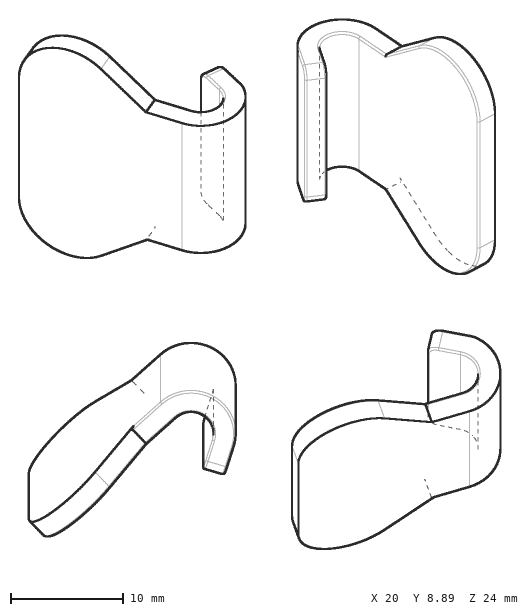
import cadquery as cq
import math

height = 24.0
thickness = 2.0
lobe_radius = 5.0
hook_height = 15.0
notch_x = 12.48
length = 20.0
inner_bend_radius = 2.0
flap_length = 3.0
flap_angle = 30.0
tip_corner_radius = 1.0
overlap = 0.95
edge_radius = 0.2

outer_bend_radius = inner_bend_radius + thickness
bend_x = length - outer_bend_radius
bend_y = outer_bend_radius
lobe_z = height / 2 - lobe_radius
half_hook = hook_height / 2

slope = math.radians(flap_angle)
along = (-math.cos(slope), math.sin(slope))
outward = (math.sin(slope), math.cos(slope))


def bend_point(radius, degrees):
    angle = math.radians(degrees)
    return bend_x + radius * math.cos(angle), bend_y + radius * math.sin(angle)


def flap_point(radius, distance):
    """Point on the flap face that is tangent to the bend of this radius."""
    return (bend_x + radius * outward[0] + distance * along[0],
            bend_y + radius * outward[1] + distance * along[1])


def make_plate():
    """Two-lobed plate whose flanks run tangentially from the lobes to the strip."""
    dx = notch_x - lobe_radius
    dz = half_hook - lobe_z
    tangent = math.atan2(dz, dx) + math.acos(lobe_radius / math.hypot(dx, dz))
    flank_x = lobe_radius * (1 + math.cos(tangent))
    flank_z = lobe_z + lobe_radius * math.sin(tangent)
    inner_x = notch_x + overlap
    inner_z = half_hook - overlap / math.tan(tangent)
    middle = (math.pi + tangent) / 2
    arc_x = lobe_radius * (1 + math.cos(middle))
    arc_z = lobe_z + lobe_radius * math.sin(middle)
    return (
        cq.Workplane("XZ")
        .moveTo(0, -lobe_z)
        .lineTo(0, lobe_z)
        .threePointArc((arc_x, arc_z), (flank_x, flank_z))
        .lineTo(inner_x, inner_z)
        .lineTo(inner_x, -inner_z)
        .lineTo(flank_x, -flank_z)
        .threePointArc((arc_x, -arc_z), (0, -lobe_z))
        .close()
        .extrude(-thickness)
    )


def make_strip():
    """Bent strip: flat neck, round bend and straight sloping flap."""
    middle = -flap_angle / 2
    return (
        cq.Workplane("XY", origin=(0, 0, -half_hook))
        .moveTo(notch_x - overlap, 0)
        .lineTo(bend_x, 0)
        .threePointArc(bend_point(outer_bend_radius, middle), flap_point(outer_bend_radius, 0))
        .lineTo(*flap_point(outer_bend_radius, flap_length))
        .lineTo(*flap_point(inner_bend_radius, flap_length))
        .lineTo(*flap_point(inner_bend_radius, 0))
        .threePointArc(bend_point(inner_bend_radius, middle), (bend_x, thickness))
        .lineTo(notch_x - overlap, thickness)
        .close()
        .extrude(hook_height)
    )


def make_tip_envelope():
    """Block level with the outer flap face, rounded at its tip corners and outer rim."""
    reach = 2 * length
    tip_x, tip_y = flap_point(outer_bend_radius, flap_length)
    face = cq.Plane(
        origin=(tip_x, tip_y, 0),
        xDir=(along[0], along[1], 0),
        normal=(outward[0], outward[1], 0),
    )
    return (
        cq.Workplane(face)
        .center(-reach / 2, 0)
        .rect(reach, hook_height)
        .extrude(-reach)
        .edges(cq.selectors.ParallelDirSelector(cq.Vector(outward[0], outward[1], 0)))
        .edges(cq.selectors.CenterNthSelector(cq.Vector(along[0], along[1], 0), -1))
        .fillet(tip_corner_radius)
        .faces(cq.selectors.DirectionMinMaxSelector(cq.Vector(outward[0], outward[1], 0)))
        .edges()
        .fillet(edge_radius)
    )


def round_plate_rim(plate):
    """Round the plate's inner face all round, except where the strip leaves it."""
    return plate.faces(">Y").edges("not(>X)").fillet(edge_radius)


def round_strip_rim(strip):
    """Round both long edges of the inner surface and carry them round the tip."""
    flap_middle = (*flap_point(inner_bend_radius, flap_length / 2), 0)
    inner_flap_face = strip.faces(cq.selectors.NearestToPointSelector(flap_middle))
    return inner_flap_face.edges("not(>X)").fillet(edge_radius)


def round_lower_edge(strip):
    """Round the lower outer edge of the strip, along the neck and round the bend."""
    neck_middle = ((notch_x - overlap + bend_x) / 2, 0, -half_hook)
    return strip.edges(cq.selectors.NearestToPointSelector(neck_middle)).fillet(edge_radius)


strip = round_strip_rim(round_lower_edge(make_strip()).intersect(make_tip_envelope()))
result = round_plate_rim(make_plate()).union(strip)